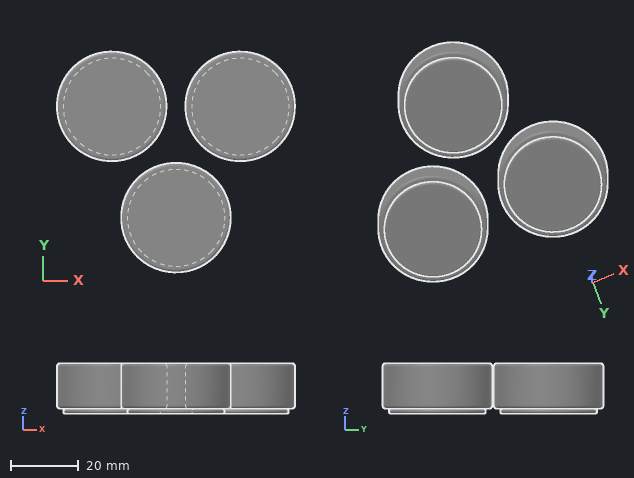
import cadquery as cq
import math

overall_width = 70.1
overall_height = 14.9
puck_diameter = 32.3
puck_edge_radius = 1.0

foot_diameter = 28.6
foot_height = 1.5
foot_edge_radius = 0.7

puck_height = overall_height - foot_height
puck_spacing = overall_width - puck_diameter
row_pitch = puck_spacing * math.sqrt(3) / 2

puck_centres = [
    (-puck_spacing / 2, row_pitch / 2),
    (puck_spacing / 2, row_pitch / 2),
    (0, -row_pitch / 2),
]


def rounded_disc(diameter, height, edge_radius, centre, base_z):
    """Disc standing on base_z, with its top and bottom rims rounded."""
    disc = cq.Workplane("XY").circle(diameter / 2).extrude(height)
    disc = disc.faces("<Z or >Z").edges().fillet(edge_radius)
    return disc.translate((*centre, base_z))


def make_puck(centre):
    """Puck body, resting on top of its foot."""
    return rounded_disc(puck_diameter, puck_height, puck_edge_radius, centre, foot_height)


def make_foot(centre):
    """Foot disc, touching the flat underside of its puck."""
    return rounded_disc(foot_diameter, foot_height, foot_edge_radius, centre, 0)


bodies = []
for puck_centre in puck_centres:
    puck = make_puck(puck_centre)
    foot = make_foot(puck_centre)
    bodies.append(puck.val())
    bodies.append(foot.val())

result = cq.Compound.makeCompound(bodies)